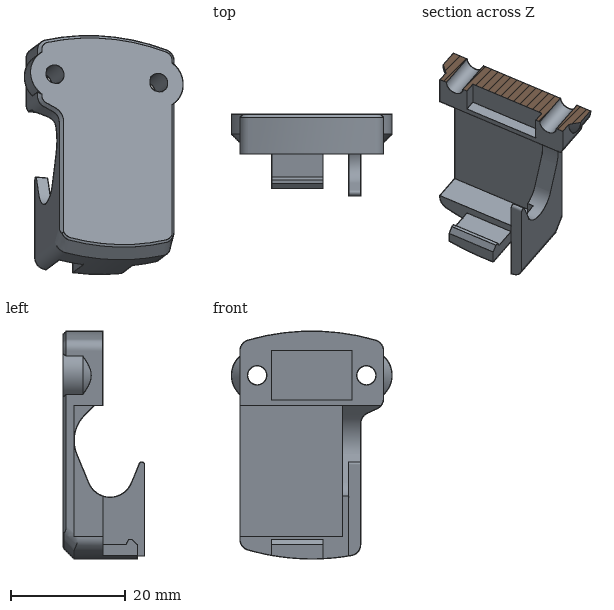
import math

import cadquery as cq


TOTAL_HEIGHT = 39.79
TOTAL_DEPTH = 14.3
BODY_WIDTH = 25.1
HALF_WIDTH = BODY_WIDTH / 2
END_ARC_RADIUS = 40.0
CLIP_OUTER_X = 8.55
HEAD_BOTTOM_Z = 26.75
SHOULDER_DROP = 1.85
CORNER_RADIUS = 2.0
BOTTOM_CHAMFER = 2.0
BACK_CHAMFER = 0.6
BOTTOM_CHAMFER_ANGLE = math.radians(45)
BOTTOM_EDGE_BREAK = BACK_CHAMFER * math.tan(BOTTOM_CHAMFER_ANGLE / 2)

BODY_DEPTH = 7.0
FLOOR_THICKNESS = 2.0
TRAY_BOTTOM_Z = 3.95
TRAY_RIGHT_X = 5.4

WINDOW_WIDTH = 14.0
WINDOW_BOTTOM_Z = 27.75
WINDOW_HEIGHT = 8.6
WINDOW_DEPTH = 2.0
SCREW_SPACING = 19.05
SCREW_Z = 32.05
SCREW_DIAMETER = 3.3
BOSS_RADIUS = 4.5
BOSS_HEIGHT = 3.5

CLIP_THICKNESS = 2.1
CLIP_INNER_X = CLIP_OUTER_X - CLIP_THICKNESS
MOUTH_DEPTH = 8.25
MOUTH_RADIUS = MOUTH_DEPTH - FLOOR_THICKNESS
SEAT_RADIUS = 4.0
SEAT_CENTER_Z = 14.8
MOUTH_TAPER = math.radians(22.5)
MOUTH_CENTER_Z = SEAT_CENTER_Z + (MOUTH_RADIUS - SEAT_RADIUS) / math.sin(MOUTH_TAPER)
MOUTH_TOP_ANGLE = math.radians(45)
TIP_RADIUS = 0.5

TAB_LEFT_X = -WINDOW_WIDTH / 2
TAB_WIDTH = 9.0
TAB_DEPTH = 13.0
TAB_TOP_Z = 2.5
RIDGE_TOP_Z = 3.4
RIDGE_START = 11.0
RIDGE_CREST_START = 11.5
RIDGE_CREST_END = 12.1

MARGIN = 1.0


def block(x_min, x_max, depth_min, depth_max, z_min, z_max):
    """Box between two X, two depth (distance in front of the back) and two Z limits."""
    size = (x_max - x_min, depth_max - depth_min, z_max - z_min)
    return cq.Workplane("XY").box(*size, centered=False).translate((x_min, -depth_max, z_min))


def end_arc_sag(x):
    """Distance of the curved top or bottom edge from its crown at the given X."""
    return END_ARC_RADIUS - math.sqrt(END_ARC_RADIUS**2 - x**2)


def on_circle(center, radius, angle):
    """Point on a circle at the given angle in radians."""
    return (center[0] + radius * math.cos(angle), center[1] + radius * math.sin(angle))


def make_block(back_overshoot):
    """Full-depth block with the sharp-cornered outline, reaching behind the back face."""
    side_top_z = TOTAL_HEIGHT - end_arc_sag(HALF_WIDTH)
    return (
        cq.Workplane("XZ", origin=(0, back_overshoot, 0))
        .moveTo(-HALF_WIDTH, end_arc_sag(HALF_WIDTH))
        .lineTo(-HALF_WIDTH, side_top_z)
        .threePointArc((0, TOTAL_HEIGHT), (HALF_WIDTH, side_top_z))
        .lineTo(HALF_WIDTH, HEAD_BOTTOM_Z)
        .lineTo(CLIP_OUTER_X, HEAD_BOTTOM_Z - SHOULDER_DROP)
        .lineTo(CLIP_OUTER_X, end_arc_sag(CLIP_OUTER_X))
        .threePointArc((0, 0), (-HALF_WIDTH, end_arc_sag(HALF_WIDTH)))
        .close()
        .extrude(TOTAL_DEPTH + back_overshoot)
    )


def make_outline_solid():
    """Full-depth block with rounded corners, bottom chamfer and chamfered back edge."""
    solid = make_block(MARGIN).faces(">Y").edges("<Z").chamfer(BOTTOM_CHAMFER + MARGIN)
    corners = solid.edges("|Y").add(solid.edges("%HYPERBOLA"))
    solid = corners.fillet(CORNER_RADIUS)
    solid = solid.cut(block(-BODY_WIDTH, BODY_WIDTH, -2 * MARGIN, 0, -MARGIN, TOTAL_HEIGHT + MARGIN))
    solid = solid.faces(">Y").edges().chamfer(BOTTOM_EDGE_BREAK)
    chamfered = make_block(0).edges("|Y").fillet(CORNER_RADIUS).faces(">Y").edges().chamfer(BACK_CHAMFER)
    return solid.intersect(chamfered)


def make_tab_envelope():
    """Latch tab with a ridge near its front end; its underside is left to the outline."""
    return (
        cq.Workplane("YZ", origin=(TAB_LEFT_X, 0, 0))
        .moveTo(0, -MARGIN)
        .lineTo(0, TAB_TOP_Z)
        .lineTo(-RIDGE_START, TAB_TOP_Z)
        .lineTo(-RIDGE_CREST_START, RIDGE_TOP_Z)
        .lineTo(-RIDGE_CREST_END, RIDGE_TOP_Z)
        .lineTo(-TAB_DEPTH, TAB_TOP_Z)
        .lineTo(-TAB_DEPTH, -MARGIN)
        .close()
        .extrude(TAB_WIDTH)
    )


def make_envelope():
    """Space the part may fill: body slab, clip plate and latch tab."""
    slab = block(-BODY_WIDTH, BODY_WIDTH, 0, BODY_DEPTH, -MARGIN, TOTAL_HEIGHT + MARGIN)
    clip = block(CLIP_INNER_X, CLIP_OUTER_X, 0, TOTAL_DEPTH, -MARGIN, HEAD_BOTTOM_Z)
    return slab.union(clip).union(make_tab_envelope())


def make_mouth_cutter():
    """Opening of the clip, swept along X from the tray to beyond the right side."""
    mouth = (-MOUTH_DEPTH, MOUTH_CENTER_Z)
    seat = (-MOUTH_DEPTH, SEAT_CENTER_Z)
    back_taper = -MOUTH_TAPER
    front_taper = math.pi + MOUTH_TAPER
    mouth_start = on_circle(mouth, MOUTH_RADIUS, MOUTH_TOP_ANGLE)
    top_run = HEAD_BOTTOM_Z - mouth_start[1]
    seat_end = on_circle(seat, SEAT_RADIUS, front_taper)

    tip_y = -TOTAL_DEPTH + TIP_RADIUS
    seat_to_tip = -MOUTH_DEPTH - tip_y
    tip_z = SEAT_CENTER_Z + (
        seat_to_tip * math.cos(MOUTH_TAPER) - SEAT_RADIUS - TIP_RADIUS
    ) / math.sin(MOUTH_TAPER)
    tip = (tip_y, tip_z)
    outside_y = -TOTAL_DEPTH - MARGIN
    return (
        cq.Workplane("YZ", origin=(TRAY_RIGHT_X, 0, 0))
        .moveTo(mouth_start[0] - top_run / math.tan(MOUTH_TOP_ANGLE), HEAD_BOTTOM_Z)
        .lineTo(*mouth_start)
        .threePointArc(on_circle(mouth, MOUTH_RADIUS, 0), on_circle(mouth, MOUTH_RADIUS, back_taper))
        .lineTo(*on_circle(seat, SEAT_RADIUS, back_taper))
        .threePointArc(on_circle(seat, SEAT_RADIUS, -math.pi / 2), seat_end)
        .lineTo(*on_circle(tip, TIP_RADIUS, MOUTH_TAPER))
        .threePointArc(on_circle(tip, TIP_RADIUS, math.pi / 2), on_circle(tip, TIP_RADIUS, math.pi))
        .lineTo(outside_y, tip_z)
        .lineTo(outside_y, HEAD_BOTTOM_Z)
        .close()
        .extrude(BODY_WIDTH)
    )


def make_boss(x):
    """Screw boss: a cylinder on the back face closed by a 45 degree cone."""
    return (
        cq.Workplane("XY")
        .lineTo(BOSS_RADIUS, 0)
        .lineTo(BOSS_RADIUS, -BOSS_HEIGHT)
        .lineTo(0, -BOSS_HEIGHT - BOSS_RADIUS)
        .close()
        .revolve(360, (0, 0, 0), (0, 1, 0))
        .translate((x, 0, SCREW_Z))
        .intersect(block(-BODY_WIDTH, BODY_WIDTH, 0, BODY_DEPTH, 0, TOTAL_HEIGHT))
    )


def make_screw_hole(x):
    """Straight hole through the full body depth."""
    return cq.Workplane("XZ", origin=(x, 0, SCREW_Z)).circle(SCREW_DIAMETER / 2).extrude(BODY_DEPTH)


tray = block(-BODY_WIDTH, TRAY_RIGHT_X, FLOOR_THICKNESS, BODY_DEPTH + MARGIN, TRAY_BOTTOM_Z, HEAD_BOTTOM_Z)
window = block(
    -WINDOW_WIDTH / 2,
    WINDOW_WIDTH / 2,
    BODY_DEPTH - WINDOW_DEPTH,
    BODY_DEPTH,
    WINDOW_BOTTOM_Z,
    WINDOW_BOTTOM_Z + WINDOW_HEIGHT,
)

result = make_outline_solid().intersect(make_envelope())
for screw_x in (-SCREW_SPACING / 2, SCREW_SPACING / 2):
    result = result.union(make_boss(screw_x)).cut(make_screw_hole(screw_x))
result = result.cut(window).cut(tray).cut(make_mouth_cutter())